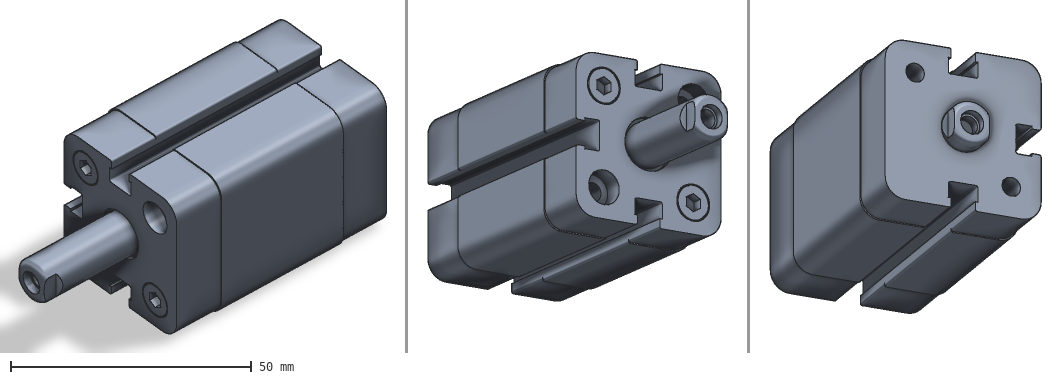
import cadquery as cq
import math

TOTAL_LENGTH = 87.0
BARREL_WIDTH = 36.1
CAP_WIDTH = 35.6
CORNER_RADIUS = 4.5
CAP_LENGTH = 12.2
FRONT_ROD_LENGTH = 24.5
BACK_ROD_LENGTH = 4.5

SLOT_TURNS = (0, -90, 180)
SLOT_NECK_WIDTH = 5.5
SLOT_WIDTH = 6.7
SLOT_LIP_OFFSET = 15.7
SLOT_EDGE_RADIUS = 0.5
SLOT_FLOOR_OFFSET = 12.0

CORNER_OFFSET = 11.0
BOLT_HOLE_DIAMETER = 4.2
COUNTERBORE_DIAMETER = 7.5
COUNTERBORE_DEPTH = 4.5
SCREW_RECESS_DIAMETER = 8.0
SCREW_HEAD_DIAMETER = 7.5
SCREW_GAP_DEPTH = 0.5
HEX_ACROSS_FLATS = 3.4
HEX_DEPTH = 2.5

ROD_DIAMETER = 10.0
ROD_RECESS_DIAMETER = 11.6
ROD_RECESS_DEPTH = 1.3
ROD_END_RADIUS = 1.3
FLAT_WIDTH = 8.0
FLAT_LENGTH = 3.3
THREAD_DIAMETER = 4.2
THREAD_MOUTH_DIAMETER = 5.2
THREAD_MOUTH_DEPTH = 2.0
THREAD_DEPTH = 10.4
DRILL_POINT_ANGLE = 118.0

CUT_MARGIN = 0.9

ROD_FRONT = -TOTAL_LENGTH / 2
ROD_BACK = TOTAL_LENGTH / 2
HOUSING_FRONT = ROD_FRONT + FRONT_ROD_LENGTH
HOUSING_BACK = ROD_BACK - BACK_ROD_LENGTH
HOUSING_LENGTH = HOUSING_BACK - HOUSING_FRONT


def plane_at(y):
    """Work plane across the axis at y: local x is X, local y is Z, and extrusion goes toward +Y."""
    return cq.Workplane(cq.Plane(origin=(0, y, 0), xDir=(1, 0, 0), normal=(0, -1, 0)))


def along_y(sketch, length):
    """Extrude a sketch toward +Y."""
    return sketch.extrude(-length)


def cylinder(x, z, y, diameter, length):
    return along_y(plane_at(y).center(x, z).circle(diameter / 2), length)


def make_slot(y, width, length):
    """T-slot cutter opening upward through a housing section of the given width."""
    surface = width / 2
    radius = SLOT_EDGE_RADIUS
    neck_height = surface - SLOT_LIP_OFFSET
    neck = along_y(
        plane_at(y).center(0, SLOT_LIP_OFFSET + neck_height / 2).rect(SLOT_NECK_WIDTH, neck_height), length
    )
    room_height = SLOT_LIP_OFFSET - SLOT_FLOOR_OFFSET
    room = along_y(
        plane_at(y).center(0, SLOT_FLOOR_OFFSET + room_height / 2).rect(SLOT_WIDTH, room_height), length
    )
    room = room.edges("|Y and <Z").fillet(radius)

    neck_half = SLOT_NECK_WIDTH / 2
    mouth = (
        plane_at(y)
        .moveTo(-neck_half, surface - radius)
        .lineTo(neck_half, surface - radius)
        .radiusArc((neck_half + radius, surface), radius)
        .lineTo(-neck_half - radius, surface)
        .radiusArc((-neck_half, surface - radius), radius)
        .close()
    )
    return neck.union(room).union(along_y(mouth, length))


def make_section(y, width, length):
    """One length of the housing: a rounded square with a T-slot in its top, left and bottom faces."""
    section = along_y(plane_at(y).rect(width, width), length).edges("|Y").fillet(CORNER_RADIUS)
    slot = make_slot(y, width, length)
    for turn in SLOT_TURNS:
        section = section.cut(slot.rotate((0, 0, 0), (0, 1, 0), turn))
    return section


def make_housing():
    barrel_length = HOUSING_LENGTH - 2 * CAP_LENGTH
    front_cap = make_section(HOUSING_FRONT, CAP_WIDTH, CAP_LENGTH)
    barrel = make_section(HOUSING_FRONT + CAP_LENGTH, BARREL_WIDTH, barrel_length)
    back_cap = make_section(HOUSING_BACK - CAP_LENGTH, CAP_WIDTH, CAP_LENGTH)
    return front_cap.union(barrel).union(back_cap)


def make_bolt_hole(x, z):
    """Through hole with a counterbore in the front face."""
    hole = cylinder(x, z, HOUSING_FRONT, BOLT_HOLE_DIAMETER, HOUSING_LENGTH)
    return hole.union(cylinder(x, z, HOUSING_FRONT, COUNTERBORE_DIAMETER, COUNTERBORE_DEPTH))


def make_screw_cut(x, z):
    """Narrow gap around a flush screw head, plus its hexagon socket."""
    gap = cylinder(x, z, HOUSING_FRONT, SCREW_RECESS_DIAMETER, SCREW_GAP_DEPTH)
    gap = gap.cut(cylinder(x, z, HOUSING_FRONT, SCREW_HEAD_DIAMETER, SCREW_GAP_DEPTH))
    hex_across_corners = HEX_ACROSS_FLATS / math.cos(math.pi / 6)
    hexagon = plane_at(HOUSING_FRONT).center(x, z).transformed(rotate=(0, 0, 30))
    return gap.union(along_y(hexagon.polygon(6, hex_across_corners), HEX_DEPTH))


def make_flat_cut():
    """Cutter for one wrench flat at the front rod tip on the +X side, ending in a 45 degree ramp."""
    flat_x = FLAT_WIDTH / 2
    outer_x = ROD_DIAMETER / 2 + CUT_MARGIN
    flat_end = ROD_FRONT + FLAT_LENGTH
    outline = (
        cq.Workplane("XY", origin=(0, 0, -ROD_DIAMETER / 2))
        .moveTo(flat_x, ROD_FRONT - CUT_MARGIN)
        .lineTo(flat_x, flat_end)
        .lineTo(outer_x, flat_end + outer_x - flat_x)
        .lineTo(outer_x, ROD_FRONT - CUT_MARGIN)
        .close()
    )
    return outline.extrude(ROD_DIAMETER)


def make_threaded_hole():
    """Blind hole in the front rod tip with a wider mouth and a conical bottom."""
    hole_radius = THREAD_DIAMETER / 2
    mouth_radius = THREAD_MOUTH_DIAMETER / 2
    point_length = hole_radius / math.tan(math.radians(DRILL_POINT_ANGLE / 2))
    mouth_end = ROD_FRONT + THREAD_MOUTH_DEPTH
    hole_end = ROD_FRONT + THREAD_DEPTH
    profile = (
        cq.Workplane("XY")
        .moveTo(0, ROD_FRONT)
        .lineTo(mouth_radius, ROD_FRONT)
        .lineTo(mouth_radius, mouth_end)
        .lineTo(hole_radius, mouth_end)
        .lineTo(hole_radius, hole_end)
        .lineTo(0, hole_end + point_length)
        .close()
    )
    return profile.revolve(360, (0, 0, 0), (0, 1, 0))


def make_rod():
    rod = cylinder(0, 0, ROD_FRONT, ROD_DIAMETER, TOTAL_LENGTH)
    rod = rod.edges("%CIRCLE").fillet(ROD_END_RADIUS)
    flat = make_flat_cut()
    end_cut = make_threaded_hole().union(flat).union(flat.mirror("YZ"))
    return rod.cut(end_cut).cut(end_cut.mirror("XZ"))


housing = make_housing()

for side in (-1, 1):
    housing = housing.cut(make_bolt_hole(side * CORNER_OFFSET, side * CORNER_OFFSET))
    housing = housing.cut(make_screw_cut(side * CORNER_OFFSET, -side * CORNER_OFFSET))

housing = housing.cut(cylinder(0, 0, HOUSING_FRONT, ROD_RECESS_DIAMETER, ROD_RECESS_DEPTH))

result = housing.union(make_rod())